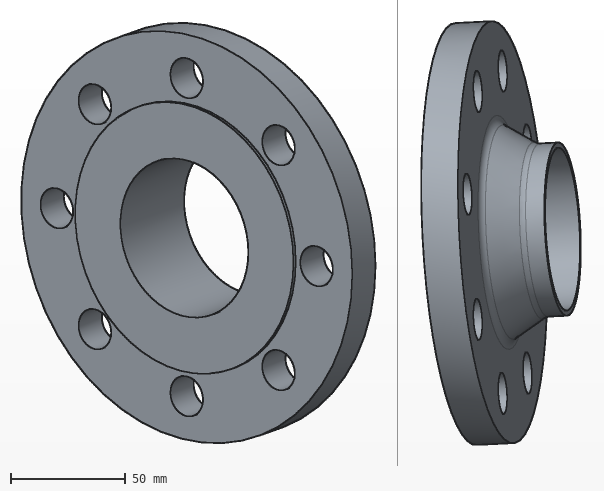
import cadquery as cq

flange_diameter = 185.0
overall_length = 45.0
flange_thickness = 16.5
raised_face_diameter = 122.0
raised_face_height = 1.7
bore_diameter = 71.5
neck_diameter = 76.0
neck_length = 9.8
hub_diameter = 97.0
blend_radius = 5.0
bolt_circle_diameter = 145.0
bolt_hole_diameter = 18.1
bolt_hole_count = 8

flange_front = raised_face_height
flange_back = flange_front + flange_thickness
neck_start = overall_length - neck_length


def ring_at(height, outer_radius):
    """Selector for circular edges near one height along Y, inside the given radius."""
    margin = 0.2
    return cq.selectors.BoxSelector(
        (-outer_radius, height - margin, -outer_radius),
        (outer_radius, height + margin, outer_radius),
        boundingbox=True,
    )


def make_body():
    """Raised face, flange disc, tapered hub and straight weld neck around an open bore."""
    body = (
        cq.Workplane("XY")
        .moveTo(bore_diameter / 2, 0)
        .lineTo(raised_face_diameter / 2, 0)
        .lineTo(raised_face_diameter / 2, flange_front)
        .lineTo(flange_diameter / 2, flange_front)
        .lineTo(flange_diameter / 2, flange_back)
        .lineTo(hub_diameter / 2, flange_back)
        .lineTo(neck_diameter / 2, neck_start)
        .lineTo(neck_diameter / 2, overall_length)
        .lineTo(bore_diameter / 2, overall_length)
        .close()
        .revolve(360, (0, 0, 0), (0, 1, 0))
    )
    search_radius = raised_face_diameter / 2
    for height in (neck_start, flange_back):
        body = body.edges(ring_at(height, search_radius)).fillet(blend_radius)
    return body


def make_bolt_holes():
    """Evenly spaced through holes, with one on the +X axis."""
    return (
        cq.Workplane("XZ")
        .polarArray(bolt_circle_diameter / 2, 0, 360, bolt_hole_count)
        .circle(bolt_hole_diameter / 2)
        .extrude(-flange_back)
    )


result = make_body().cut(make_bolt_holes())